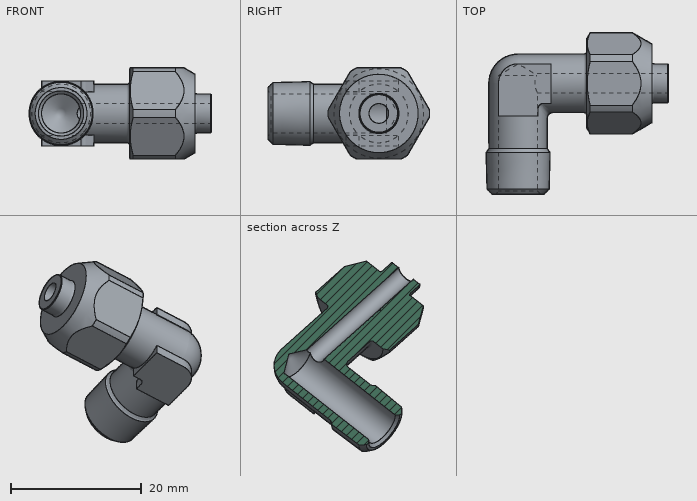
import cadquery as cq
import math

leg_radius = 4.5
inner_corner_fillet = 0.78

pad_half_height = 5.0
pad_inset = 3.0
pad_end = 5.03
notch_corner = 3.07

spigot_start = 10.55
spigot_end = 16.98
spigot_radius = 4.92
spigot_small_radius = 4.78
spigot_lip = 0.17
spigot_shoulder = 0.42
tip_chamfer = 0.8

bore_radius = 3.0
bore_chamfer = 0.47
bore_tip = 3.0
drill_point_angle = 118
cross_bore_radius = 1.5

nut_start = 10.5
nut_end = 20.53
nut_across_flats = 14.0
nut_corner_radius = 7.76
nut_back_radius = 6.85
nut_front_radius = 6.0
nut_chamfer_angle = 30
flare_length = 0.42

tube_end = 23.01
tube_radius = 3.0
collar_radius = 3.07
collar_length = 0.34
tube_tip_chamfer = 0.1

slope = math.tan(math.radians(nut_chamfer_angle))


def revolve_about_x(points):
    """Turn a closed (x, radius) outline around the X axis."""
    return cq.Workplane("XY").polyline(points).close().revolve(360, (0, 0, 0), (1, 0, 0))


def revolve_about_minus_y(points):
    """Turn a closed (distance along -Y, radius) outline around the Y axis."""
    outline = [(radius, -distance) for distance, radius in points]
    return cq.Workplane("XY").polyline(outline).close().revolve(360, (0, 0, 0), (0, 1, 0))


def make_elbow():
    x_leg = cq.Workplane("YZ").circle(leg_radius).extrude(nut_start - flare_length)
    y_leg = cq.Workplane("XZ").circle(leg_radius).extrude(spigot_start - spigot_shoulder - spigot_lip)
    return x_leg.union(y_leg).union(cq.Workplane("XY").sphere(leg_radius))


def make_pads():
    arc_middle = pad_inset * math.sqrt(0.5)
    return (
        cq.Workplane("XY", origin=(0, 0, -pad_half_height))
        .moveTo(-pad_inset, 0)
        .threePointArc((-arc_middle, arc_middle), (0, pad_inset))
        .lineTo(pad_end, pad_inset)
        .lineTo(pad_end, -notch_corner)
        .lineTo(notch_corner, -notch_corner)
        .lineTo(notch_corner, -pad_end)
        .lineTo(-pad_inset, -pad_end)
        .close()
        .extrude(2 * pad_half_height)
    )


def fillet_inner_corner(body):
    """Round the mitre between the legs and the notch corners of the pads."""
    low = notch_corner - 0.03
    high = leg_radius + 0.03
    inner_edges = cq.selectors.BoxSelector(
        (low, -high, -pad_half_height - 0.28), (high, -low, pad_half_height + 0.28), boundingbox=True
    )
    return body.edges(inner_edges).fillet(inner_corner_fillet)


def make_spigot():
    lip_radius = spigot_radius - spigot_lip
    return revolve_about_minus_y([
        (spigot_start - spigot_shoulder - spigot_lip, 0),
        (spigot_start - spigot_shoulder - spigot_lip, leg_radius),
        (spigot_start - spigot_lip, lip_radius),
        (spigot_start, spigot_radius),
        (spigot_end - tip_chamfer, spigot_small_radius),
        (spigot_end, spigot_small_radius - tip_chamfer),
        (spigot_end, 0),
    ])


def make_nut():
    across_corners = nut_across_flats / math.cos(math.radians(30))
    back_chamfer = (nut_corner_radius - nut_back_radius) * slope
    front_chamfer = (nut_corner_radius - nut_front_radius) / slope
    hexagon = (
        cq.Workplane("YZ", origin=(nut_start, 0, 0))
        .polygon(6, across_corners)
        .extrude(nut_end - nut_start)
    )
    envelope = revolve_about_x([
        (nut_start, 0),
        (nut_start, nut_back_radius),
        (nut_start + back_chamfer, nut_corner_radius),
        (nut_end - front_chamfer, nut_corner_radius),
        (nut_end, nut_front_radius),
        (nut_end, 0),
    ])
    return hexagon.intersect(envelope)


def make_flare():
    """Concave quarter round where the X leg meets the back of the nut."""
    start = nut_start - flare_length
    reach = flare_length * math.sqrt(0.5)
    return (
        cq.Workplane("XY")
        .moveTo(start, 0)
        .lineTo(start, leg_radius)
        .threePointArc(
            (start + reach, leg_radius + flare_length - reach),
            (nut_start, leg_radius + flare_length),
        )
        .lineTo(nut_start, 0)
        .close()
        .revolve(360, (0, 0, 0), (1, 0, 0))
    )


def make_tube():
    collar_end = nut_end + collar_length
    return revolve_about_x([
        (nut_end, 0),
        (nut_end, collar_radius),
        (collar_end, tube_radius),
        (tube_end - tube_tip_chamfer, tube_radius),
        (tube_end, tube_radius - tube_tip_chamfer),
        (tube_end, 0),
    ])


def make_bores():
    """Drilled hole with a conical bottom in the -Y leg, met by the bore along X."""
    cone_length = bore_radius / math.tan(math.radians(drill_point_angle / 2))
    drilled = revolve_about_minus_y([
        (-bore_tip, 0),
        (cone_length - bore_tip, bore_radius),
        (spigot_end - bore_chamfer, bore_radius),
        (spigot_end, bore_radius + bore_chamfer),
        (spigot_end, 0),
    ])
    cross_bore = cq.Workplane("YZ").circle(cross_bore_radius).extrude(tube_end)
    return drilled.union(cross_bore)


body = fillet_inner_corner(make_elbow().union(make_pads()))
for piece in (make_spigot(), make_flare(), make_nut(), make_tube()):
    body = body.union(piece)
result = body.cut(make_bores())